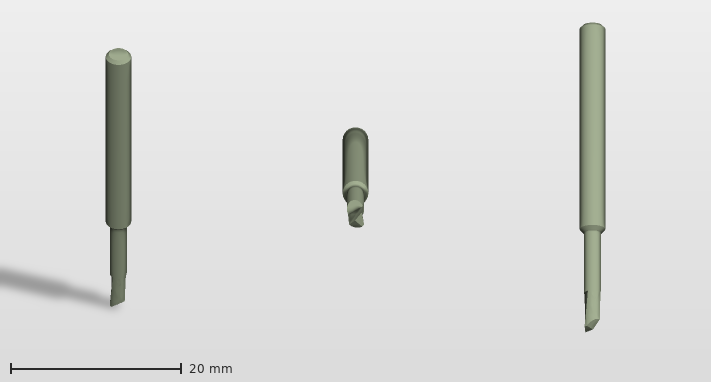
import cadquery as cq
import math

total_length = 38.0
shank_radius = 1.5
shank_bottom = 12.58
top_chamfer = 0.38
neck_radius = 1.007
neck_bottom = 4.6
cone_bottom = shank_bottom - (shank_radius - neck_radius)

tip_radius = 1.16
rake_angle_top = 25.0
rake_angle_tip = 3.0
flat_span = 80.0

end_slope_x = 3.0
end_slope_y = 6.0
back_chamfer_start = 0.05
cutter_size = 7.6


def polar(radius, angle):
    """Point on a circle about the tool axis, with the angle in degrees."""
    return (radius * math.cos(math.radians(angle)), radius * math.sin(math.radians(angle)))


def head_section(height, radius, rake_angle):
    """Half-round section: rake face, flat, then an arc back to the rake face."""
    cutting_corner = polar(radius, rake_angle - 180)
    flat_end_angle = rake_angle - 180 + flat_span
    arc_middle = polar(radius, (flat_end_angle + rake_angle) / 2)
    return (
        cq.Workplane("XY", origin=(0, 0, height))
        .moveTo(*polar(radius, rake_angle))
        .lineTo(*cutting_corner)
        .lineTo(*polar(radius, flat_end_angle))
        .threePointArc(arc_middle, polar(radius, rake_angle))
        .close()
        .val()
    )


def make_body():
    """Turned shank, cone and neck."""
    return (
        cq.Workplane("XZ")
        .moveTo(0, neck_bottom)
        .lineTo(neck_radius, neck_bottom)
        .lineTo(neck_radius, cone_bottom)
        .lineTo(shank_radius, shank_bottom)
        .lineTo(shank_radius, total_length - top_chamfer)
        .lineTo(shank_radius - top_chamfer, total_length)
        .lineTo(0, total_length)
        .close()
        .revolve(360, (0, 0, 0), (0, 1, 0))
    )


def make_runout():
    """Wedge removed from the neck where the rake face runs out at 45 degrees."""
    return (
        cq.Workplane("YZ")
        .polyline([
            (0, neck_bottom),
            (shank_radius, neck_bottom),
            (shank_radius, neck_bottom + shank_radius),
        ])
        .close()
        .extrude(cutter_size / 2, both=True)
        .rotate((0, 0, 0), (0, 0, 1), rake_angle_top)
    )


def make_head():
    """Twisted cutting head with its sloped end and back chamfer."""
    sections = [
        head_section(0, tip_radius, rake_angle_tip),
        head_section(neck_bottom, neck_radius, rake_angle_top),
    ]
    head = cq.Workplane(cq.Solid.makeLoft(sections, True))

    corner_x, corner_y = polar(tip_radius, rake_angle_tip - 180)
    slope_x = math.tan(math.radians(end_slope_x))
    slope_y = math.tan(math.radians(end_slope_y))
    end_plane = cq.Plane(
        origin=(corner_x, corner_y, 0),
        xDir=(1, 0, slope_x),
        normal=(-slope_x, slope_y, 1),
    )
    end_relief = cq.Workplane(end_plane).rect(cutter_size, cutter_size).extrude(-cutter_size)

    back_chamfer = (
        cq.Workplane("XZ")
        .polyline([
            (back_chamfer_start, 0),
            (back_chamfer_start + cutter_size, 0),
            (back_chamfer_start + cutter_size, cutter_size),
        ])
        .close()
        .extrude(cutter_size / 2, both=True)
    )
    return head.cut(end_relief).cut(back_chamfer)


result = make_body().cut(make_runout()).union(make_head())